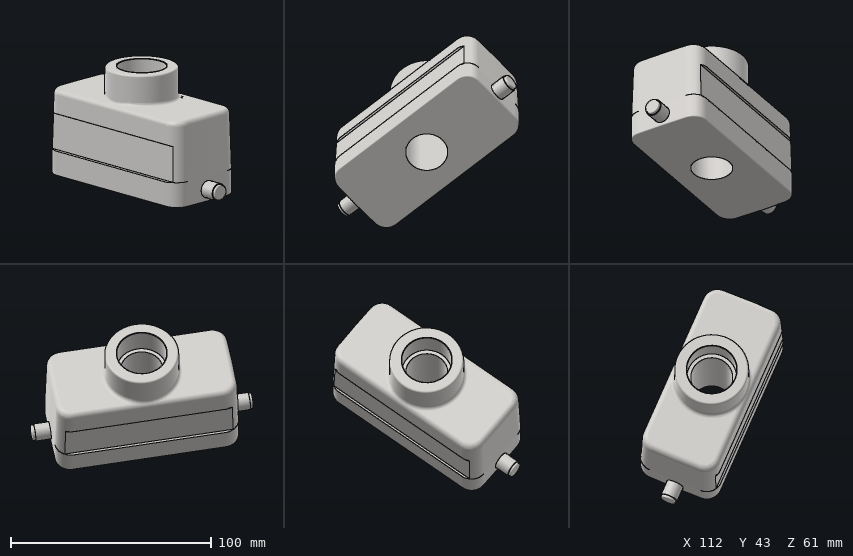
import cadquery as cq
import math

OVERALL_LENGTH = 112.0
OVERALL_HEIGHT = 61.0

SKIRT_LENGTH = 93.4
SKIRT_WIDTH = 43.0
SKIRT_HEIGHT = 13.2
BODY_HEIGHT = 44.8
DRAFT_ANGLE = 1.4
END_CROWN = 0.28
CORNER_RADIUS = 7.6
TOP_EDGE_RADIUS = 3.0
BASE_EDGE_RADIUS = 0.7

PANEL_BOTTOM = 12.9
PANEL_TOP = 32.1
PANEL_DEPTH = 1.0
PANEL_EDGE_SLOPE = 0.5

COLLAR_DIAMETER = 37.0
COLLAR_RIM_RADIUS = 1.0
COLLAR_ROOT_RADIUS = 2.0
BORE_DIAMETER = 25.0
BORE_DEPTH = 13.7
BORE_CHAMFER = 0.2
THROUGH_DIAMETER = 21.0

PIN_DIAMETER = 8.8
PIN_TIP_DIAMETER = 8.0
PIN_TIP_LENGTH = 1.6
PIN_TIP_RADIUS = 0.5
PIN_HEIGHT = 6.5


def crowned_block(height, draft_angle):
    """Six-sided block on the base plane, with rounded corners and drafted walls."""
    peak_x = SKIRT_LENGTH / 2
    corner_x = peak_x - END_CROWN
    corner_y = SKIRT_WIDTH / 2
    outline = [
        (peak_x, 0),
        (corner_x, corner_y),
        (-corner_x, corner_y),
        (-peak_x, 0),
        (-corner_x, -corner_y),
        (corner_x, -corner_y),
    ]
    block = cq.Workplane().polyline(outline).close().extrude(height, taper=draft_angle)
    return block.edges("not #Z").edges(">Y or <Y").fillet(CORNER_RADIUS)


def hood_body():
    skirt = crowned_block(SKIRT_HEIGHT, 0)
    skirt = skirt.faces("<Z").edges().fillet(BASE_EDGE_RADIUS)
    drafted = crowned_block(BODY_HEIGHT - SKIRT_HEIGHT, DRAFT_ANGLE)
    drafted = drafted.faces(">Z").edges().fillet(TOP_EDGE_RADIUS)
    return skirt.union(drafted.translate((0, 0, SKIRT_HEIGHT)))


def wall_y(z):
    """Half width of the drafted long wall at height z."""
    return SKIRT_WIDTH / 2 - (z - SKIRT_HEIGHT) * math.tan(math.radians(DRAFT_ANGLE))


def panel_cutter():
    """Bar along X that removes the panel recess from the +Y wall."""
    inner_low = PANEL_BOTTOM + PANEL_EDGE_SLOPE
    inner_high = PANEL_TOP - PANEL_EDGE_SLOPE
    outside = SKIRT_WIDTH / 2 + PANEL_DEPTH
    profile = [
        (SKIRT_WIDTH / 2, PANEL_BOTTOM),
        (wall_y(inner_low) - PANEL_DEPTH, inner_low),
        (wall_y(inner_high) - PANEL_DEPTH, inner_high),
        (wall_y(PANEL_TOP), PANEL_TOP),
        (outside, PANEL_TOP),
        (outside, PANEL_BOTTOM),
    ]
    return cq.Workplane("YZ").polyline(profile).close().extrude(SKIRT_LENGTH / 2, both=True)


def add_collar(hood):
    collar = (
        cq.Workplane()
        .workplane(offset=SKIRT_HEIGHT)
        .circle(COLLAR_DIAMETER / 2)
        .extrude(OVERALL_HEIGHT - SKIRT_HEIGHT)
    )
    hood = hood.union(collar)
    reach = COLLAR_DIAMETER / 2 + COLLAR_ROOT_RADIUS
    root_zone = cq.selectors.BoxSelector(
        (-reach, -reach, BODY_HEIGHT - TOP_EDGE_RADIUS / 2),
        (reach, reach, BODY_HEIGHT + COLLAR_ROOT_RADIUS),
        boundingbox=True,
    )
    hood = hood.edges(root_zone).fillet(COLLAR_ROOT_RADIUS)
    return hood.faces(">Z").edges().fillet(COLLAR_RIM_RADIUS)


def cut_bore(hood):
    hood = hood.faces(">Z").workplane().cboreHole(THROUGH_DIAMETER, BORE_DIAMETER, BORE_DEPTH)
    mouth = cq.selectors.RadiusNthSelector(0)
    return hood.faces(">Z").edges(mouth).chamfer(BORE_CHAMFER)


def pin():
    """Locking pin along +X, rooted inside the end wall."""
    root_x = SKIRT_LENGTH / 2 - CORNER_RADIUS
    shoulder_x = OVERALL_LENGTH / 2 - PIN_TIP_LENGTH
    shank = (
        cq.Workplane("YZ", origin=(root_x, 0, PIN_HEIGHT))
        .circle(PIN_DIAMETER / 2)
        .extrude(shoulder_x - root_x)
    )
    stepped = shank.faces(">X").workplane().circle(PIN_TIP_DIAMETER / 2).extrude(PIN_TIP_LENGTH)
    return stepped.faces(">X").edges().fillet(PIN_TIP_RADIUS)


panel = panel_cutter()
hood = hood_body()
hood = hood.cut(panel).cut(panel.mirror("XZ"))
hood = add_collar(hood)
hood = cut_bore(hood)
right_pin = pin()
result = hood.union(right_pin).union(right_pin.mirror("YZ"))